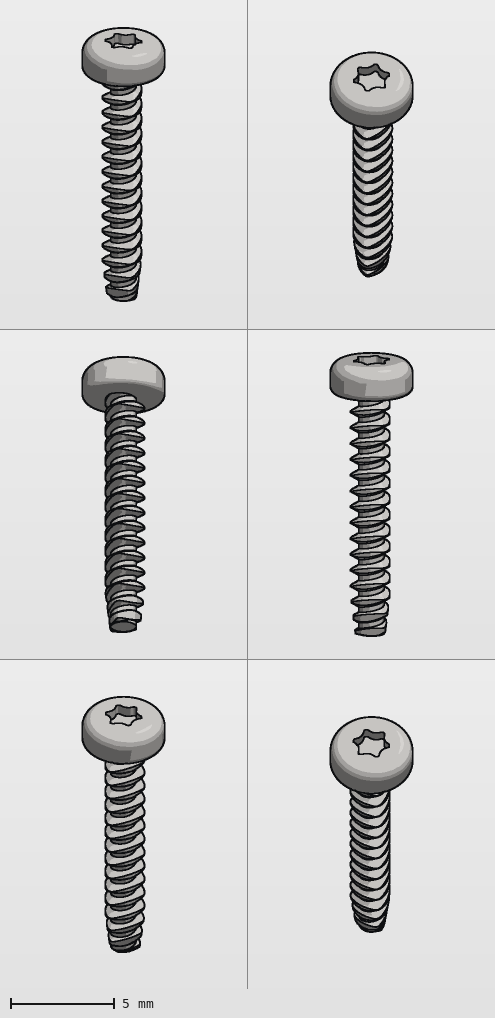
import cadquery as cq
import math

total_length = 13.6
head_height = 1.6
head_diameter = 4.0
shank_length = total_length - head_height

head_top_fillet = 0.67
head_bottom_fillet = 0.33

socket_lobes = 6
socket_depth = 0.52
socket_tip_radius = 0.88
socket_valley_radius = 0.67
socket_tip_arc = 0.14

core_radius = 0.63

thread_pitch = 0.79
thread_sharp_radius = 1.06
thread_root_width = 0.53
thread_root_overlap = 0.08
thread_crest_depth = 0.92

crest_lobes = 3
crest_lobe_distance = 0.61
crest_lobe_arc = 0.42
crest_first_lobe = 90.0
tip_taper_length = 1.9
tip_taper_angle = 7.0
thread_end_gap = 0.03


def polar(radius, degrees):
    angle = math.radians(degrees)
    return (radius * math.cos(angle), radius * math.sin(angle))


def toward(center, radius, degrees):
    dx, dy = polar(radius, degrees)
    return (center[0] + dx, center[1] + dy)


def make_head():
    head = cq.Workplane("XY").circle(head_diameter / 2).extrude(head_height)
    head = head.faces(">Z").edges().fillet(head_top_fillet)
    return head.faces("<Z").edges().fillet(head_bottom_fillet)


def make_socket():
    """Lobe arcs and valley arcs alternate, each tangent to the next."""
    step = 360.0 / socket_lobes
    half_step = step / 2
    tip_center = socket_tip_radius - socket_tip_arc
    reach = tip_center * math.cos(math.radians(half_step))
    valley_arc = (
        tip_center**2 + socket_valley_radius**2 - 2 * reach * socket_valley_radius - socket_tip_arc**2
    ) / (2 * (socket_tip_arc + reach - socket_valley_radius))
    valley_center = socket_valley_radius + valley_arc

    def tangent_point(tip_angle, side):
        tip = polar(tip_center, tip_angle)
        valley = polar(valley_center, tip_angle + side * half_step)
        share = socket_tip_arc / (socket_tip_arc + valley_arc)
        return tuple(t + share * (v - t) for t, v in zip(tip, valley))

    outline = cq.Workplane("XY", origin=(0, 0, head_height)).moveTo(*tangent_point(half_step, -1))
    for lobe in range(socket_lobes):
        tip_angle = half_step + lobe * step
        outline = outline.threePointArc(polar(socket_tip_radius, tip_angle), tangent_point(tip_angle, 1))
        outline = outline.threePointArc(
            polar(socket_valley_radius, tip_angle + half_step), tangent_point(tip_angle + step, -1)
        )
    return outline.close().extrude(-socket_depth)


def crest_outline(z):
    """Small arcs at the lobes, joined by large arcs centred on the opposite lobes."""
    step = 360.0 / crest_lobes
    half_span = step / 4
    side_middle = crest_lobe_distance * (math.sqrt(3) - 1) + crest_lobe_arc
    first = polar(crest_lobe_distance, crest_first_lobe)
    outline = cq.Workplane("XY", origin=(0, 0, z))
    outline = outline.moveTo(*toward(first, crest_lobe_arc, crest_first_lobe - half_span))
    for lobe in range(crest_lobes):
        angle = crest_first_lobe + lobe * step
        center = polar(crest_lobe_distance, angle)
        next_center = polar(crest_lobe_distance, angle + step)
        outline = outline.threePointArc(
            toward(center, crest_lobe_arc, angle), toward(center, crest_lobe_arc, angle + half_span)
        )
        outline = outline.threePointArc(
            polar(side_middle, angle + step / 2),
            toward(next_center, crest_lobe_arc, angle + step - half_span),
        )
    return outline.close()


def make_crest_envelope():
    """Straight along the shank and narrowing toward the tip; its top reaches into the head."""
    taper_top = tip_taper_length - shank_length
    straight = crest_outline(taper_top).extrude(-taper_top + head_bottom_fillet)
    tip = crest_outline(taper_top).extrude(thread_end_gap - tip_taper_length, taper=tip_taper_angle)
    return straight.union(tip)


def make_thread():
    turns_below = math.ceil((shank_length - thread_crest_depth) / thread_pitch)
    turns_above = math.ceil(thread_crest_depth / thread_pitch)
    start_z = -thread_crest_depth - turns_below * thread_pitch
    height = (turns_below + turns_above) * thread_pitch
    path = cq.Wire.makeHelix(thread_pitch, height, core_radius)

    foot_radius = core_radius - thread_root_overlap
    slope = thread_root_width / 2 / (thread_sharp_radius - core_radius)
    foot_half_width = slope * (thread_sharp_radius - foot_radius)
    ridge = (
        cq.Workplane("XZ")
        .polyline([(foot_radius, -foot_half_width), (thread_sharp_radius, 0), (foot_radius, foot_half_width)])
        .close()
        .sweep(cq.Workplane(path), isFrenet=True)
    )
    return ridge.rotate((0, 0, 0), (0, 0, 1), crest_first_lobe).translate((0, 0, start_z))


core = cq.Workplane("XY", origin=(0, 0, -shank_length)).circle(core_radius)
core = core.extrude(shank_length + head_bottom_fillet)
thread = make_thread().intersect(make_crest_envelope())
result = make_head().union(core.union(thread)).cut(make_socket())